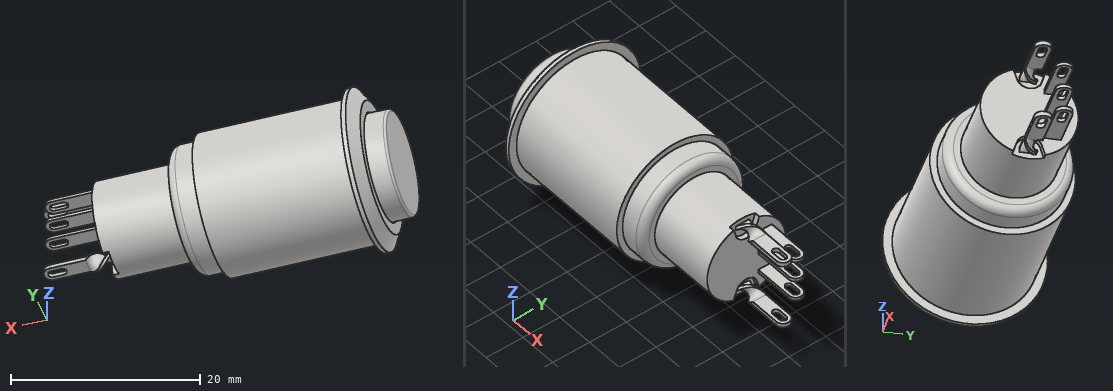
import cadquery as cq
import math

flange_front_x = 2.35
flange_rim_x = 3.45
flange_back_x = 3.95
barrel_end_x = 20.83
collar_end_x = 24.0
rear_end_x = 32.85
switch_tip_x = 38.9
lamp_tip_x = 39.9

flange_diameter = 18.0
flange_face_diameter = 14.6
barrel_diameter = 15.9
collar_diameter = 14.3
collar_round = 1.0
rear_diameter = 10.7

button_diameter = 11.8
button_round = 0.28
bore_diameter = 12.0
bore_floor_x = flange_back_x

blade_width = 1.85
eyelet_width = 0.88
eyelet_length = 2.05
switch_blade_thickness = 0.45
switch_blade_y = 2.5
switch_blade_pitch = 2.75
lamp_blade_thickness = 0.55
lamp_blade_z = 4.4

notch_depth = 0.68
notch_radius = 1.45
notch_draft = 18.0
notch_floor_x = rear_end_x - notch_depth
twist_length = 2.85
twist_angle = -180.0
twist_end_x = notch_floor_x + twist_length


def axial_cylinder(diameter, start_x, end_x):
    """Cylinder on the X axis between two stations."""
    return cq.Workplane("YZ", origin=(start_x, 0, 0)).circle(diameter / 2).extrude(end_x - start_x)


def make_button():
    """Push button with a rounded edge around its face."""
    return axial_cylinder(button_diameter, 0, bore_floor_x).faces("<X").edges().fillet(button_round)


def make_shell():
    """Conical flange, barrel, rounded collar and rear barrel, with the button bore."""
    flange_radius = flange_diameter / 2
    profile = [
        (flange_front_x, 0),
        (flange_front_x, flange_face_diameter / 2),
        (flange_rim_x, flange_radius),
        (flange_back_x, flange_radius),
        (flange_back_x, 0),
    ]
    flange = cq.Workplane("XY").polyline(profile).close().revolve(360, (0, 0, 0), (1, 0, 0))
    barrel = axial_cylinder(barrel_diameter, flange_back_x, barrel_end_x)
    collar = axial_cylinder(collar_diameter, barrel_end_x, collar_end_x).faces(">X").edges().fillet(collar_round)
    rear = axial_cylinder(rear_diameter, collar_end_x, rear_end_x)
    bore = axial_cylinder(bore_diameter, flange_front_x, bore_floor_x)
    return flange.union(barrel).union(collar).union(rear).cut(bore)


def make_notch(side):
    """Cutter for a notch: round floor, drafted walls, open to the rim above (1) or below (-1)."""
    draft = math.radians(notch_draft)
    rim_z = rear_diameter / 2
    wall_y = notch_radius * math.cos(draft)
    wall_z = lamp_blade_z - notch_radius * math.sin(draft)
    rim_y = wall_y + (rim_z - wall_z) * math.tan(draft)
    return (
        cq.Workplane("YZ", origin=(notch_floor_x, 0, 0))
        .moveTo(-rim_y, side * rim_z)
        .lineTo(-wall_y, side * wall_z)
        .threePointArc((0, side * (lamp_blade_z - notch_radius)), (wall_y, side * wall_z))
        .lineTo(rim_y, side * rim_z)
        .close()
        .extrude(notch_depth)
    )


def make_blade(start_x, tip_x, y, z, thickness):
    """Flat terminal blade along X with a full-round tip and a concentric eyelet slot."""
    tip_radius = blade_width / 2
    round_x = tip_x - tip_radius
    eyelet_x = round_x + eyelet_width / 2 - eyelet_length / 2
    blade = (
        cq.Workplane("XY", origin=(0, y, z - thickness / 2))
        .moveTo(start_x, -tip_radius)
        .lineTo(round_x, -tip_radius)
        .threePointArc((tip_x, 0), (round_x, tip_radius))
        .lineTo(start_x, tip_radius)
        .close()
        .extrude(thickness)
    )
    eyelet = (
        cq.Workplane("XY", origin=(eyelet_x, y, z - thickness / 2))
        .slot2D(eyelet_length, eyelet_width)
        .extrude(thickness)
    )
    return blade.cut(eyelet)


def make_twist(z):
    """Half-turn twisted root of a lamp terminal, rising from the notch floor."""
    return (
        cq.Workplane("YZ", origin=(notch_floor_x, 0, z))
        .rect(blade_width, lamp_blade_thickness)
        .twistExtrude(twist_length, twist_angle)
    )


def make_housing():
    """Shell with its three switch terminals and two twisted lamp terminals."""
    housing = make_shell()
    for row in (-1, 0, 1):
        blade_z = row * switch_blade_pitch
        housing = housing.union(
            make_blade(rear_end_x, switch_tip_x, switch_blade_y, blade_z, switch_blade_thickness)
        )
    for side in (-1, 1):
        blade_z = side * lamp_blade_z
        housing = housing.cut(make_notch(side))
        housing = housing.union(make_twist(blade_z))
        housing = housing.union(make_blade(twist_end_x, lamp_tip_x, 0, blade_z, lamp_blade_thickness))
    return housing


button = make_button()
housing = make_housing()

result = cq.Compound.makeCompound([button.val(), housing.val()])